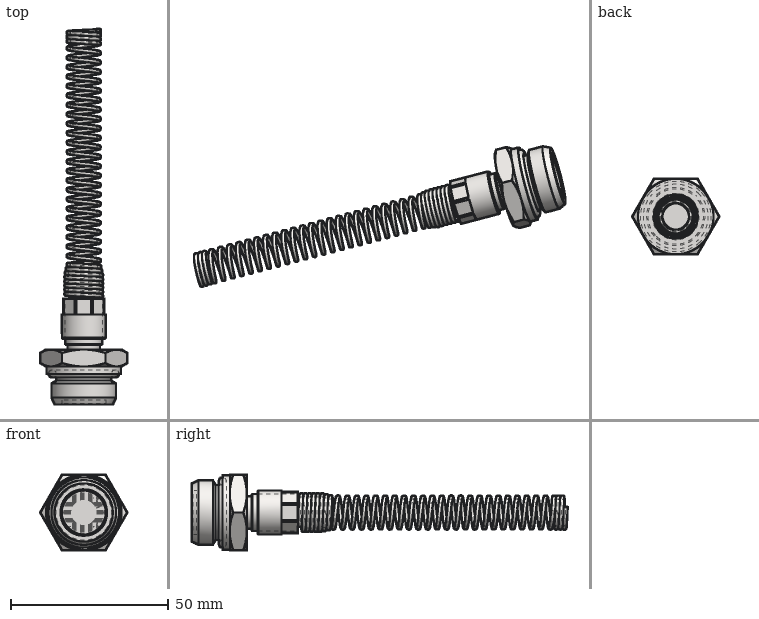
import cadquery as cq
import math


thread_radius = 10.3
thread_tip_radius = 9.25
thread_chamfer_length = 2.2
thread_end = 6.7
groove_radius = 8.8
groove_start = 7.6
flange_radius = 11.9
flange_start = 9.8
hex_start = 12.1
hex_end = 17.5
hex_sides = 6
hex_flats = 24.0
hex_corners = hex_flats / math.cos(math.pi / hex_sides)
hex_chamfer_radius = 12.0
hex_chamfer_angle = 30.0
neck_radius = 5.2
neck_end = 19.0
stem_radius = 5.9
stem_chamfer = 0.3
recess_radius = 7.0
recess_chamfer = 0.4
recess_depth = 1.5

seal_section_radius = 1.2
seal_ring_radius = groove_radius + seal_section_radius

nut_start = 20.9
collar_end = 28.6
nut_end = 33.7
collar_radius = 7.0
collar_chamfer = 0.35
octagon_flats = 13.2
octagon_sides = 8
octagon_corners = octagon_flats / math.cos(math.pi / octagon_sides)

wire_radius = 0.65
spring_tip = 119.5
slim_coil_radius = 5.5 - wire_radius
wide_coil_radius = 6.2 - wire_radius
closed_pitch = 1.32
open_pitch = 3.0
base_turns = 7.75
wide_turns = 5.25
tip_turns = 3.0
tip_angle = 20.0
points_per_turn = 8


def revolve_about_y(points):
    """Revolve a closed (radius, y) outline about the Y axis."""
    return cq.Workplane("XY").polyline(points).close().revolve(360, (0, 0, 0), (0, 1, 0))


def prism_along_y(sides, corner_diameter, start, end, turn=0):
    """Regular prism on the Y axis from start to end, turned about the axis."""
    prism = cq.Workplane("XZ", origin=(0, start, 0)).polygon(sides, corner_diameter).extrude(start - end)
    return prism.rotate((0, 0, 0), (0, 1, 0), turn)


def make_hexagon():
    """Hexagon with its corners chamfered by a cone on both ends."""
    corner_radius = hex_corners / 2
    drop = (corner_radius - hex_chamfer_radius) * math.tan(math.radians(hex_chamfer_angle))
    chamfer_cones = revolve_about_y([
        (0, hex_start),
        (hex_chamfer_radius, hex_start),
        (corner_radius, hex_start + drop),
        (corner_radius, hex_end - drop),
        (hex_chamfer_radius, hex_end),
        (0, hex_end),
    ])
    return prism_along_y(hex_sides, hex_corners, hex_start, hex_end).intersect(chamfer_cones)


def make_seal():
    """O-ring centred in the plane of the flange face."""
    section = cq.Workplane("XY").center(seal_ring_radius, flange_start).circle(seal_section_radius)
    return section.revolve(360, (-seal_ring_radius, 0, 0), (-seal_ring_radius, 1, 0))


def make_body():
    """Plug thread, seal groove, flange, hexagon and the stem that fills the nut."""
    turned = revolve_about_y([
        (0, recess_depth),
        (recess_radius, recess_depth),
        (recess_radius, recess_chamfer),
        (recess_radius + recess_chamfer, 0),
        (thread_tip_radius, 0),
        (thread_radius, thread_chamfer_length),
        (thread_radius, thread_end),
        (groove_radius, groove_start),
        (groove_radius, flange_start),
        (flange_radius, flange_start),
        (flange_radius, hex_start),
        (neck_radius, hex_start),
        (neck_radius, neck_end),
        (stem_radius - stem_chamfer, neck_end),
        (stem_radius, neck_end + stem_chamfer),
        (stem_radius, nut_end),
        (0, nut_end),
    ])
    return turned.union(make_hexagon()).cut(make_seal())


def make_nut():
    """Round collar with an octagonal grip, its corners turned down to the collar, bored for the stem."""
    collar = (
        cq.Workplane("XZ", origin=(0, collar_end, 0))
        .circle(collar_radius)
        .extrude(collar_end - nut_start)
        .faces("<Y").chamfer(collar_chamfer)
    )
    grip = prism_along_y(octagon_sides, octagon_corners, collar_end, nut_end, 180 / octagon_sides)
    turned_grip = (
        cq.Workplane("XZ", origin=(0, nut_end, 0))
        .circle(collar_radius)
        .extrude(nut_end - collar_end)
    )
    grip = grip.intersect(turned_grip)
    bore = cq.Workplane("XZ", origin=(0, nut_end, 0)).circle(stem_radius).extrude(nut_end - nut_start)
    return collar.union(grip).cut(bore)


spring_base = nut_end + wire_radius
spring_rise = spring_tip - wire_radius - spring_base
open_turns = (spring_rise - closed_pitch * (base_turns + tip_turns)) / open_pitch
total_turns = base_turns + open_turns + tip_turns


def coil_height(turn):
    """Y of the wire centre: closed coils, then open coils, then closed coils."""
    opened = min(max(turn - base_turns, 0), open_turns)
    return spring_base + closed_pitch * turn + (open_pitch - closed_pitch) * opened


def coil_radius(turn):
    """Coil radius: wide at the nut, narrowing to slim where the coils open."""
    narrowed = min(max((turn - wide_turns) / (base_turns - wide_turns), 0), 1)
    return wide_coil_radius + (slim_coil_radius - wide_coil_radius) * narrowed


def coil_point(turn):
    """Point on the left-hand coil, ending at the tip angle."""
    angle = math.radians(tip_angle) + 2 * math.pi * (turn - total_turns)
    radius = coil_radius(turn)
    return cq.Vector(radius * math.cos(angle), coil_height(turn), radius * math.sin(angle))


def make_spring():
    """Round wire swept along the coil."""
    steps = round(total_turns * points_per_turn)
    path = cq.Edge.makeSpline([coil_point(total_turns * step / steps) for step in range(steps + 1)])
    start_plane = cq.Plane(origin=path.startPoint(), normal=path.tangentAt(0))
    return cq.Workplane(start_plane).circle(wire_radius).sweep(cq.Workplane(path), isFrenet=True)


body = make_body()
seal = make_seal()
nut = make_nut()
spring = make_spring()

result = cq.Compound.makeCompound([body.val(), seal.val(), nut.val(), spring.val()])